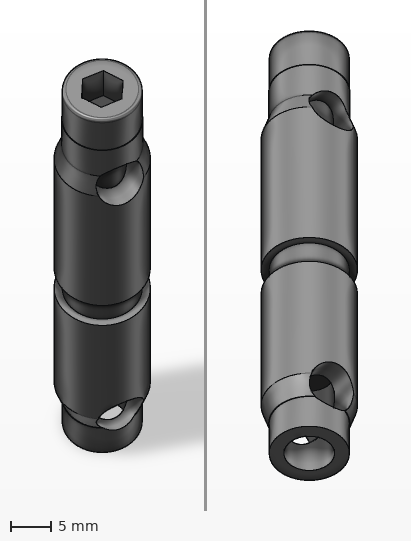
import cadquery as cq
import math

length = 67.0
body_radius = 12.0 / 2
end_radius = 10.0 / 2
collar_radius = 10.1 / 2
collar_top = length - 5.95
upper_cone_top = length - 11.1
upper_cone_base = length - 14.0
groove_top = length - 36.05
groove_width = 4.0
groove_bottom = groove_top - groove_width
lower_cone_top = 8.05
lower_cone_base = 5.0
rim_fillet = 0.5

hole_diameter = 6.5
upper_hole_z = length - 13.1
lower_hole_z = 7.4
core_radius = 3.0

bore_radius = 3.15
bore_depth = 13.4

hex_across_flats = 5.0
hex_depth = 5.0


def turned_body():
    """Stepped shaft revolved about Z, with a rounded top rim."""
    outline = [
        (0, 0),
        (end_radius, 0),
        (end_radius, lower_cone_base),
        (collar_radius, lower_cone_base),
        (body_radius, lower_cone_top),
        (body_radius, groove_bottom),
        (end_radius, groove_bottom),
        (end_radius, groove_top),
        (body_radius, groove_top),
        (body_radius, upper_cone_base),
        (collar_radius, upper_cone_top),
        (collar_radius, collar_top),
        (end_radius, collar_top),
        (end_radius, length),
        (0, length),
    ]
    body = cq.Workplane("XZ").polyline(outline).close().revolve(360, (0, 0, 0), (0, 1, 0))
    return body.faces(">Z").edges().fillet(rim_fillet)


def cross_hole(z):
    """Cutter for a round hole right through the shaft along X."""
    return (
        cq.Workplane("YZ")
        .center(0, z)
        .circle(hole_diameter / 2)
        .extrude(body_radius, both=True)
    )


def hex_socket():
    """Cutter for the socket in the top face, with two corners on the Y axis."""
    across_corners = hex_across_flats / math.cos(math.pi / 6)
    return (
        cq.Workplane("XY")
        .workplane(offset=length - hex_depth)
        .transformed(rotate=(0, 0, 90))
        .polygon(6, across_corners)
        .extrude(hex_depth)
    )


core = cq.Workplane("XY").circle(core_radius).extrude(length)
upper_hole = cross_hole(upper_hole_z).cut(core)

bottom_bore = cq.Workplane("XY").circle(bore_radius).extrude(bore_depth)

result = (
    turned_body()
    .cut(upper_hole)
    .cut(cross_hole(lower_hole_z))
    .cut(bottom_bore)
    .cut(hex_socket())
)